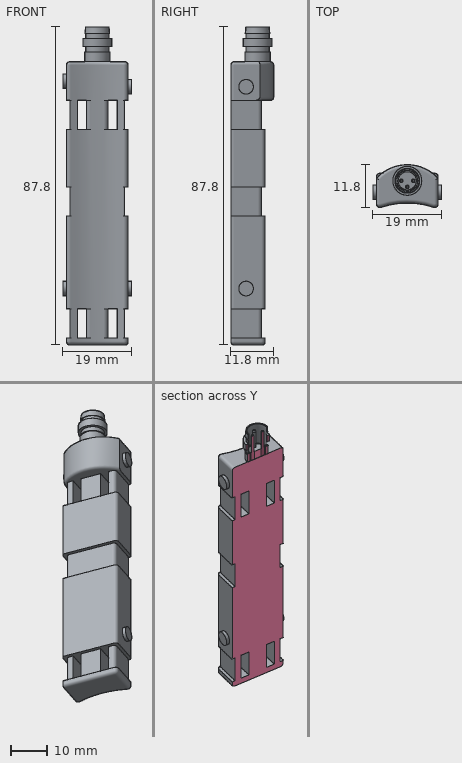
import cadquery as cq
import math


BODY_WIDTH = 17.0
BODY_DEPTH = 9.6
HEAD_DEPTH = 11.9
HEAD_BACK_RADIUS = 11.4
FRONT_RADIUS = 22.8
FRONT_SAG = 1.3
EDGE_RADIUS = 1.0
HOUSING_HEIGHT = 78.2
HEAD_BOTTOM = 67.5

RECESS_DEPTH = 1.0
RECESS_HEIGHT = 8.0
RECESS_FRONT_RADIUS = 0.3
END_PLATE = 2.0
RECESS_BOTTOMS = [END_PLATE, 35.65, HEAD_BOTTOM - RECESS_HEIGHT]

SLOT_INNER_X = 3.0
SLOT_OUTER_X = 5.4
SLOT_LIP_RADIUS = 1.05
SLOT_BOTTOMS = [RECESS_BOTTOMS[0], RECESS_BOTTOMS[-1]]

STUD_DIAMETER = 4.0
STUD_LENGTH = 1.0
STUD_Y = 4.3
STUDS = [(-1, 72.9), (1, 71.3), (-1, 15.6), (1, 15.6)]

CONNECTOR_Y = 7.5
TOTAL_HEIGHT = 87.8
BASE_DIAMETER = 7.0
NECK_DIAMETER = 6.5
RIM_TOP_DIAMETER = 6.5
RIM_DIAMETER = 6.85
RIM_BOTTOM = 86.0
BASE_TOP = 80.95
BORE_DIAMETER = 5.7
MOUTH_DIAMETER = 5.8
MOUTH_DEPTH = 0.9
BORE_FLOOR = BASE_TOP

COLLAR_DIAMETER = 8.0
COLLAR_BOTTOM = 82.4
COLLAR_TOP = 84.6

INSERT_DIAMETER = 5.0

CONTACT_DIAMETER = 1.0
CONTACT_TIP_DIAMETER = 0.6
CONTACT_TIP_LENGTH = 0.4
CONTACT_TOP = TOTAL_HEIGHT - 1.0
CONTACT_CIRCLE_RADIUS = 1.7
CONTACT_ANGLES = [0, 180, 270]


def front_y(x):
    """Y of the concave front face at a given X."""
    return FRONT_SAG - FRONT_RADIUS + math.sqrt(FRONT_RADIUS**2 - x**2)


def section(half_width, side_back, z_bottom, z_top, bulge_top=None):
    """Upright prism with a concave front; the back is flat, or an arc when bulge_top is given."""
    corner_y = front_y(half_width)
    outline = (
        cq.Workplane("XY", origin=(0, 0, z_bottom))
        .moveTo(-half_width, corner_y)
        .threePointArc((0, FRONT_SAG), (half_width, corner_y))
        .lineTo(half_width, side_back)
    )
    if bulge_top is None:
        outline = outline.lineTo(-half_width, side_back)
    else:
        outline = outline.threePointArc((0, bulge_top), (-half_width, side_back))
    return outline.close().extrude(z_top - z_bottom)


def make_head():
    half_width = BODY_WIDTH / 2
    side_back = HEAD_DEPTH - HEAD_BACK_RADIUS + math.sqrt(HEAD_BACK_RADIUS**2 - half_width**2)
    head = section(half_width, side_back, HEAD_BOTTOM, HOUSING_HEIGHT, HEAD_DEPTH)
    head = head.edges("|Z and <Y").fillet(EDGE_RADIUS)
    head = head.faces(">Z").edges().fillet(EDGE_RADIUS)
    return head.faces("<Z").edges(">Y").fillet(EDGE_RADIUS)


def make_block(z_bottom, z_top):
    """Full-width length of the housing."""
    block = section(BODY_WIDTH / 2, BODY_DEPTH, z_bottom, z_top)
    return block.edges("|Z").fillet(EDGE_RADIUS)


def make_core():
    """Narrower section that shows in the recesses and runs up into the head."""
    core_top = HEAD_BOTTOM + 2 * EDGE_RADIUS
    core = section(BODY_WIDTH / 2 - RECESS_DEPTH, BODY_DEPTH - RECESS_DEPTH, EDGE_RADIUS, core_top)
    core = core.edges("|Z and >Y").fillet(EDGE_RADIUS)
    return core.edges("|Z and <Y").fillet(RECESS_FRONT_RADIUS)


def make_slot(side, z_bottom):
    """Cutter for one slot, flared at the front around the rounded inner edge."""
    lip_x = SLOT_INNER_X - SLOT_LIP_RADIUS
    lip_front = front_y(lip_x)
    lip_back = lip_front + SLOT_LIP_RADIUS
    bend = SLOT_LIP_RADIUS * math.sqrt(0.5)
    return (
        cq.Workplane("XY", origin=(0, 0, z_bottom))
        .moveTo(side * lip_x, 0)
        .lineTo(side * lip_x, lip_front)
        .threePointArc((side * (lip_x + bend), lip_back - bend), (side * SLOT_INNER_X, lip_back))
        .lineTo(side * SLOT_INNER_X, HEAD_DEPTH)
        .lineTo(side * SLOT_OUTER_X, HEAD_DEPTH)
        .lineTo(side * SLOT_OUTER_X, 0)
        .close()
        .extrude(RECESS_HEIGHT)
    )


def make_stud(side, z):
    root_x = BODY_WIDTH / 2 - EDGE_RADIUS
    length = EDGE_RADIUS + STUD_LENGTH
    plane = cq.Plane(origin=(side * root_x, STUD_Y, z), xDir=(0, 1, 0), normal=(side, 0, 0))
    return cq.Workplane(plane).circle(STUD_DIAMETER / 2).extrude(length)


def make_housing():
    housing = make_core().union(make_head())
    end_plate = make_block(0, END_PLATE).faces("<Z").edges().fillet(EDGE_RADIUS)
    housing = housing.union(end_plate)
    for below, above in zip(RECESS_BOTTOMS, RECESS_BOTTOMS[1:]):
        housing = housing.union(make_block(below + RECESS_HEIGHT, above))
    for z in SLOT_BOTTOMS:
        for side in (-1, 1):
            housing = housing.cut(make_slot(side, z))
    for side, z in STUDS:
        housing = housing.union(make_stud(side, z))
    return housing


def connector_cylinder(diameter, z_bottom, z_top):
    """Cylinder on the connector axis."""
    plane = cq.Workplane("XY", origin=(0, CONNECTOR_Y, z_bottom))
    return plane.circle(diameter / 2).extrude(z_top - z_bottom)


def connector_cone(bottom_diameter, top_diameter, z_bottom, z_top):
    """Truncated cone on the connector axis."""
    foot = cq.Workplane("XY", origin=(0, CONNECTOR_Y, z_bottom)).circle(bottom_diameter / 2)
    return foot.workplane(offset=z_top - z_bottom).circle(top_diameter / 2).loft()


def make_sleeve():
    mouth_bottom = TOTAL_HEIGHT - MOUTH_DEPTH
    sleeve = connector_cylinder(BASE_DIAMETER, HOUSING_HEIGHT, BASE_TOP)
    sleeve = sleeve.union(connector_cylinder(NECK_DIAMETER, BASE_TOP, RIM_BOTTOM))
    sleeve = sleeve.union(connector_cone(RIM_DIAMETER, RIM_TOP_DIAMETER, RIM_BOTTOM, TOTAL_HEIGHT))
    sleeve = sleeve.cut(connector_cylinder(INSERT_DIAMETER, HOUSING_HEIGHT, BORE_FLOOR))
    sleeve = sleeve.cut(connector_cylinder(BORE_DIAMETER, BORE_FLOOR, mouth_bottom))
    return sleeve.cut(connector_cone(BORE_DIAMETER, MOUTH_DIAMETER, mouth_bottom, TOTAL_HEIGHT))


def make_collar():
    collar = connector_cylinder(COLLAR_DIAMETER, COLLAR_BOTTOM, COLLAR_TOP)
    return collar.cut(connector_cylinder(NECK_DIAMETER, COLLAR_BOTTOM, COLLAR_TOP))


def make_contact(angle):
    """Contact pin with a conical tip, standing on the housing."""
    x = CONTACT_CIRCLE_RADIUS * math.cos(math.radians(angle))
    y = CONNECTOR_Y + CONTACT_CIRCLE_RADIUS * math.sin(math.radians(angle))
    taper = (CONTACT_DIAMETER - CONTACT_TIP_DIAMETER) / 2
    plane = cq.Workplane("XY", origin=(x, y, HOUSING_HEIGHT))
    contact = plane.circle(CONTACT_DIAMETER / 2).extrude(CONTACT_TOP - HOUSING_HEIGHT)
    return contact.faces(">Z").edges().chamfer(CONTACT_TIP_LENGTH, taper)


def make_insert(contacts):
    """Disc at the foot of the bore, with a hole for each contact."""
    insert = connector_cylinder(INSERT_DIAMETER, HOUSING_HEIGHT, BORE_FLOOR)
    for contact in contacts:
        insert = insert.cut(contact)
    return insert


housing = make_housing()
sleeve = make_sleeve()
collar = make_collar()
contacts = [make_contact(angle) for angle in CONTACT_ANGLES]
insert = make_insert(contacts)

result = cq.Compound.makeCompound(
    [housing.val(), sleeve.val(), collar.val(), insert.val(), *[contact.val() for contact in contacts]]
)